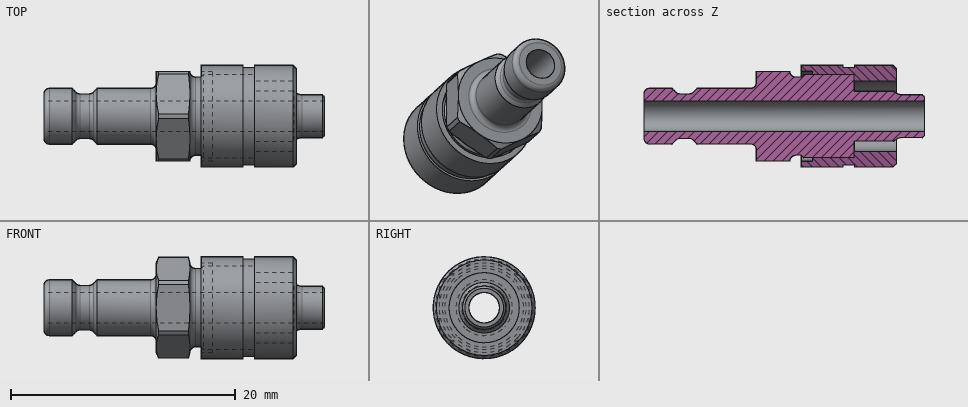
import cadquery as cq
import math

TOTAL_LENGTH = 25.0
GROOVE_START = 2.5
GROOVE_END = 4.75
HEX_START = 10.0
HEX_LENGTH = 3.0
HEX_END = HEX_START + HEX_LENGTH
NECK_END = 14.0
NUT_START = NECK_END
NUT_END = 22.5
NUT_GROOVE_START = 17.75
NUT_GROOVE_WIDTH = 1.0
NUT_MOUTH_DEPTH = 1.0
SHANK_END = 18.75
FLARE_END = 23.0

BORE_DIA = 2.7
STEM_DIA = 5.0
GROOVE_DIA = 4.0
NECK_DIA = 7.0
SHANK_DIA = 7.45
CORE_DIA = 4.5
TAIL_DIA = 3.85
HEX_ACROSS_FLATS = 8.0
HEX_CORNER_DIA = 9.0
NUT_DIA = 9.1
NUT_GROOVE_DIA = 8.7
NUT_MOUTH_DIA = 8.0
NUT_EXIT_DIA = 6.25

BLEND_RADIUS = 0.5
FLARE_RADIUS = 1.0
TAIL_CHAMFER = 0.2
HEX_FRONT_CHAMFER = 0.22
HEX_REAR_CHAMFER = 0.12
NUT_CHAMFER = 0.3


def cylinder(start, end, diameter):
    """Cylinder along the X axis between two stations."""
    return cq.Workplane("YZ", origin=(start, 0, 0)).circle(diameter / 2).extrude(end - start)


def revolve_about_x(profile):
    """Turn a closed XY profile about the X axis."""
    return profile.close().revolve(360, (0, 0, 0), (1, 0, 0))


def make_stem():
    """Plug stem with a rounded tip, locking groove and blend into the hexagon."""
    stem_r = STEM_DIA / 2
    groove_r = GROOVE_DIA / 2
    arc_run = BLEND_RADIUS * math.sin(math.radians(45))
    arc_rise = BLEND_RADIUS - arc_run
    cone_run = stem_r - groove_r - arc_rise
    side_run = cone_run + arc_run
    cone_foot_r = groove_r + arc_rise

    blend_start = HEX_START - BLEND_RADIUS
    return revolve_about_x(
        cq.Workplane("XY")
        .moveTo(0, 0)
        .lineTo(0, stem_r - BLEND_RADIUS)
        .radiusArc((BLEND_RADIUS, stem_r), BLEND_RADIUS)
        .lineTo(GROOVE_START, stem_r)
        .lineTo(GROOVE_START + cone_run, cone_foot_r)
        .radiusArc((GROOVE_START + side_run, groove_r), -BLEND_RADIUS)
        .lineTo(GROOVE_END - side_run, groove_r)
        .radiusArc((GROOVE_END - cone_run, cone_foot_r), -BLEND_RADIUS)
        .lineTo(GROOVE_END, stem_r)
        .lineTo(blend_start, stem_r)
        .radiusArc((HEX_START, stem_r + BLEND_RADIUS), -BLEND_RADIUS)
        .lineTo(HEX_START, 0)
    )


def make_hexagon():
    """Wrench hexagon with flats at +/-Y, turned corners and chamfered ends."""
    prism = (
        cq.Workplane("YZ", origin=(HEX_START, 0, 0))
        .transformed(rotate=(0, 0, 90))
        .polygon(6, HEX_ACROSS_FLATS / math.cos(math.radians(30)))
        .extrude(HEX_LENGTH)
    )
    face_r = HEX_ACROSS_FLATS / 2
    corner_r = HEX_CORNER_DIA / 2
    turned_blank = revolve_about_x(
        cq.Workplane("XY")
        .moveTo(HEX_START, 0)
        .lineTo(HEX_START, face_r)
        .lineTo(HEX_START + HEX_FRONT_CHAMFER, corner_r)
        .lineTo(HEX_END - HEX_REAR_CHAMFER, corner_r)
        .lineTo(HEX_END, face_r)
        .lineTo(HEX_END, 0)
    )
    return prism.intersect(turned_blank)


def make_shank_and_tail():
    """Neck and shank behind the hexagon, the core inside the nut and the flared tail."""
    neck_r = NECK_DIA / 2
    shank_r = SHANK_DIA / 2
    core_r = CORE_DIA / 2
    tail_r = TAIL_DIA / 2
    lead_in = shank_r - neck_r
    flare_rise = core_r - tail_r
    flare_run = math.sqrt(FLARE_RADIUS**2 - (FLARE_RADIUS - flare_rise) ** 2)
    return revolve_about_x(
        cq.Workplane("XY")
        .moveTo(HEX_END, 0)
        .lineTo(HEX_END, neck_r + BLEND_RADIUS)
        .radiusArc((HEX_END + BLEND_RADIUS, neck_r), -BLEND_RADIUS)
        .lineTo(NECK_END, neck_r)
        .lineTo(NECK_END + lead_in, shank_r)
        .lineTo(SHANK_END, shank_r)
        .lineTo(SHANK_END, core_r)
        .lineTo(FLARE_END - flare_run, core_r)
        .radiusArc((FLARE_END, tail_r), -FLARE_RADIUS)
        .lineTo(TOTAL_LENGTH - TAIL_CHAMFER, tail_r)
        .lineTo(TOTAL_LENGTH, tail_r - TAIL_CHAMFER)
        .lineTo(TOTAL_LENGTH, 0)
    )


def make_fitting():
    """Plug fitting in one piece, with a bore right through."""
    solid = make_stem().union(make_hexagon()).union(make_shank_and_tail())
    return solid.cut(cylinder(0, TOTAL_LENGTH, BORE_DIA))


def make_nut():
    """Round nut over the shank, with an outer groove and a chamfered rear rim."""
    nut = cylinder(NUT_START, NUT_END, NUT_DIA).faces(">X").edges().chamfer(NUT_CHAMFER)
    groove_end = NUT_GROOVE_START + NUT_GROOVE_WIDTH
    groove = cylinder(NUT_GROOVE_START, groove_end, NUT_DIA).cut(
        cylinder(NUT_GROOVE_START, groove_end, NUT_GROOVE_DIA)
    )
    nut = nut.cut(groove)
    nut = nut.cut(cylinder(NUT_START, SHANK_END, SHANK_DIA))
    nut = nut.cut(cylinder(NUT_START, NUT_START + NUT_MOUTH_DEPTH, NUT_MOUTH_DIA))
    return nut.cut(cylinder(SHANK_END, NUT_END, NUT_EXIT_DIA))


fitting = make_fitting()
nut = make_nut()
result = cq.Compound.makeCompound([fitting.val(), nut.val()])